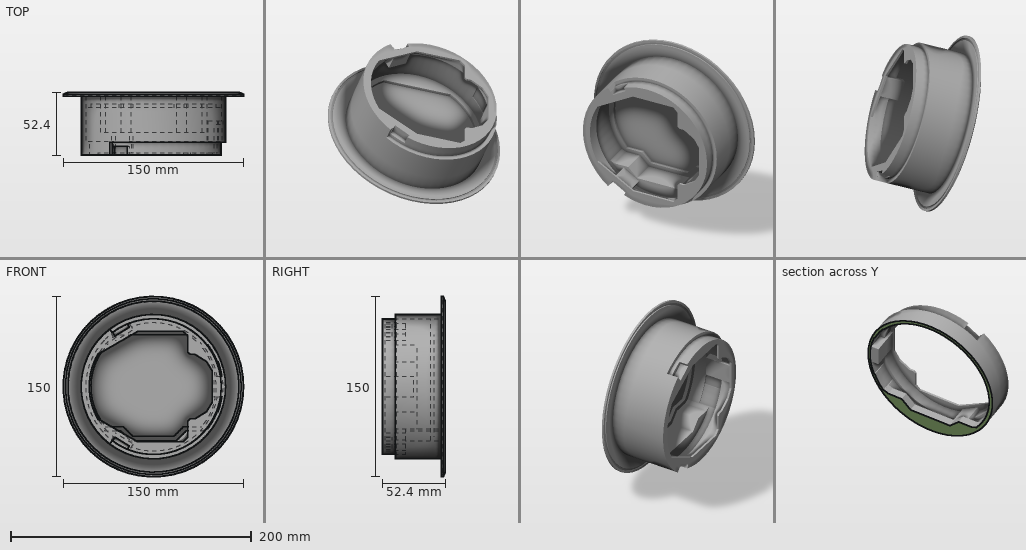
import cadquery as cq
import math

total_depth = 52.4
flange_thickness = 3.6
flange_front = total_depth - flange_thickness
shoulder_depth = 10.6
slot_depth = 7.5
lip_thickness = 1.8
collar_bore_end = 11.4
relief_end = 28.5
stop_end = 25.5
block_front = 18.9
rim_front = 39.8
floor_front = 42.6

flange_radius = 75.0
flange_back_radius = 70.8
groove_outer_radius = 73.0
groove_inner_radius = 71.1
housing_radius = 60.0
collar_radius = 56.4
bore_radius = 56.4
relief_radius = 57.6
relief_border_radius = 57.0
collar_bore_radius = 53.4
pocket_radius = 51.9

flange_chamfer_depth = 1.8
groove_depth = 1.0

shoulder_angle = 127.3
slot_angle = 121.5
slot_floor = 52.5
slot_start = -8.8
slot_finish = 5.4
slot_wall = 3.2
slot_end_wall = 1.5

mouth_half_height = 45.9
mouth_top_left = -13.0
mouth_side_x = 28.6
mouth_corner = 3.9
mouth_slant = math.radians(30)
bay_half_height = 26.8
bay_entry_bevel = 1.8
bay_shoulder_x = 34.5
bay_middle_x = 44.2
bay_middle_z = 20.7
bay_end_x = 49.0
bay_end_half_height = 12.9

stop_x = 50.2
stop_half_height = 8.5
relief_half_height = 20.7

key_floor_z = -45.2
key_floor_half_width = 18.9
key_shelf_z = -36.8
key_shelf_end_x = 40.2
key_end_x = 44.4
key_end_z = -35.0

pocket_top_z = 43.2
pocket_floor_z = -41.2
pocket_floor_half_width = 17.1
pocket_shelf_z = -33.2


def disc(radius, start, end):
    """Cylinder about the Y axis between two depths."""
    return cq.Workplane("XZ", origin=(0, start, 0)).circle(radius).extrude(start - end)


def prism(points, start, end):
    """Prism of an XZ outline between two depths."""
    return cq.Workplane("XZ", origin=(0, start, 0)).polyline(points).close().extrude(start - end)


def block(x_range, y_range, z_range):
    """Axis-aligned box from its ranges."""
    sizes = [high - low for low, high in (x_range, y_range, z_range)]
    corner = (x_range[0], y_range[0], z_range[0])
    return cq.Workplane("XY").box(*sizes, centered=False).translate(corner)


def mirrored(points):
    """Extend an outline by its mirror image across Z = 0."""
    return points + [(x, -z) for x, z in reversed(points)]


def key_block():
    """Key across the lower part of the bore with a trapezoidal trough, symmetric about X = 0."""
    rise = key_shelf_z - key_floor_z
    right = [
        (key_floor_half_width, key_floor_z),
        (key_floor_half_width + rise, key_shelf_z),
        (key_shelf_end_x, key_shelf_z),
        (key_end_x, key_end_z),
        (housing_radius, key_end_z),
        (housing_radius, -housing_radius),
    ]
    left = [(-x, z) for x, z in reversed(right)]
    return prism(right + left, block_front, flange_front)


def bore_fill(start, end):
    """Cross-section of the bore beside the key block."""
    return disc(bore_radius, start, end).cut(key_block())


def mouth():
    """Opening through the front lip."""
    slant_run = mouth_top_left + housing_radius
    upper = [
        (-housing_radius, mouth_half_height - slant_run * math.tan(mouth_slant)),
        (mouth_top_left, mouth_half_height),
        (mouth_side_x - mouth_corner, mouth_half_height),
        (mouth_side_x, mouth_half_height - mouth_corner),
        (mouth_side_x, bay_half_height + bay_entry_bevel),
        (mouth_side_x + bay_entry_bevel, bay_half_height),
        (bay_shoulder_x, bay_half_height),
        (bay_middle_x, bay_middle_z),
        (bay_end_x, bay_end_half_height),
    ]
    opening = prism(mirrored(upper), 0, lip_thickness)
    return opening.intersect(disc(collar_bore_radius, 0, lip_thickness))


def collar_relief():
    """Material removed around the housing to leave the reduced collar."""
    reach = 2 * housing_radius
    angle = math.radians(shoulder_angle)
    edge = (reach * math.cos(angle), reach * math.sin(angle))
    outline = [(0, 0), (edge[0], -edge[1]), (reach, -edge[1]), (reach, edge[1]), edge]
    sector = prism(outline, 0, shoulder_depth)
    ring = disc(housing_radius, 0, shoulder_depth).cut(disc(collar_radius, 0, shoulder_depth))
    return ring.intersect(sector)


def bayonet_slot():
    """Flat-bottomed slot on the +Z side of the collar."""
    slot = block((slot_floor, housing_radius), (0, slot_depth), (slot_start, slot_finish))
    return slot.rotate((0, 0, 0), (0, 1, 0), -slot_angle)


def slot_pad():
    """Flat pad on the bore wall that backs the slot on the +Z side."""
    pad = block(
        (slot_floor - slot_wall, housing_radius),
        (lip_thickness, block_front),
        (slot_start - slot_end_wall, slot_finish + slot_end_wall),
    )
    pad = pad.rotate((0, 0, 0), (0, 1, 0), -slot_angle)
    return pad.intersect(disc(collar_radius, lip_thickness, block_front))


def stop_block():
    """Block standing on the +X wall of the bore behind the lip."""
    heights = (-stop_half_height, stop_half_height)
    stop = block((stop_x, housing_radius), (lip_thickness, stop_end), heights)
    return stop.intersect(disc(housing_radius, lip_thickness, stop_end))


def wall_relief():
    """Shallow two-step relief in the +X wall of the bore."""
    relief = disc(bore_radius, collar_bore_end, relief_end)
    steps = [(relief_border_radius, -key_end_z), (relief_radius, relief_half_height)]
    for radius, half_height in steps:
        window = block((0, housing_radius), (collar_bore_end, relief_end), (-half_height, half_height))
        relief = relief.union(disc(radius, collar_bore_end, relief_end).intersect(window))
    return relief.cut(key_block())


def make_housing():
    """Round housing with a bayonet collar, a lipped mouth and a key block."""
    housing = disc(housing_radius, 0, flange_front)
    housing = housing.cut(disc(collar_bore_radius, lip_thickness, collar_bore_end))
    housing = housing.cut(bore_fill(collar_bore_end, flange_front))
    housing = housing.cut(wall_relief()).union(stop_block())
    upper_pad = slot_pad()
    housing = housing.union(upper_pad).union(upper_pad.mirror("XY"))
    housing = housing.cut(mouth()).cut(collar_relief())
    upper_slot = bayonet_slot()
    return housing.cut(upper_slot).cut(upper_slot.mirror("XY"))


def cover_pocket():
    """Pocket inside the cover rim, following the key block and flat on top."""
    rise = pocket_shelf_z - pocket_floor_z
    right = [
        (pocket_floor_half_width, pocket_floor_z),
        (pocket_floor_half_width + rise, pocket_shelf_z),
        (housing_radius, pocket_shelf_z),
        (housing_radius, pocket_top_z),
    ]
    left = [(-x, z) for x, z in reversed(right)]
    outline = prism(right + left, rim_front, floor_front)
    return outline.intersect(disc(pocket_radius, rim_front, floor_front))


def make_cover():
    """Flange with a bevelled back edge, a front groove and a plug that closes the bore."""
    profile = [
        (0, flange_front),
        (flange_radius, flange_front),
        (flange_radius, total_depth - flange_chamfer_depth),
        (flange_back_radius, total_depth),
        (0, total_depth),
    ]
    flange = cq.Workplane("XY").polyline(profile).close().revolve(360, (0, 0, 0), (0, 1, 0))
    groove_end = flange_front + groove_depth
    groove = disc(groove_outer_radius, flange_front, groove_end)
    groove = groove.cut(disc(groove_inner_radius, flange_front, groove_end))
    return flange.cut(groove).union(bore_fill(rim_front, flange_front)).cut(cover_pocket())


housing = make_housing()
cover = make_cover()

result = cq.Compound.makeCompound([housing.val(), cover.val()])